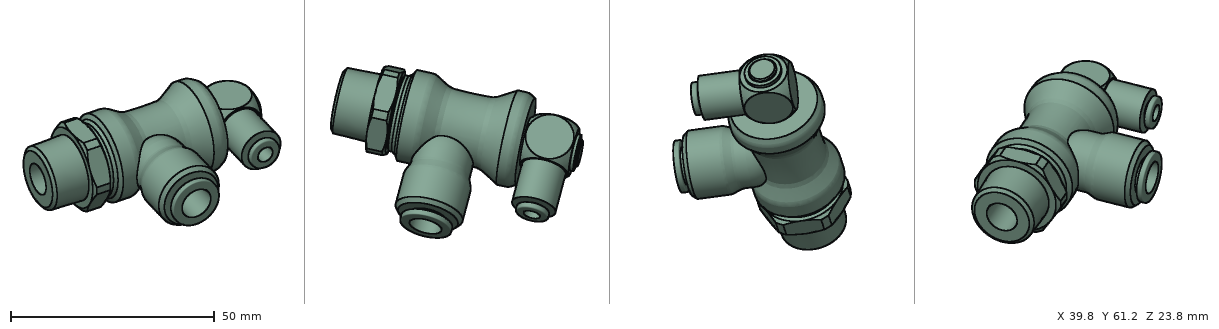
import cadquery as cq
import math


thread_tip_radius = 8.25
thread_base_radius = 8.5
thread_chamfer_radius = 7.3
thread_chamfer_length = 0.75

hex_sides = 6
hex_turn = 180.0 / hex_sides
hex_start = 9.55
hex_end = 14.6
hex_flats = 20.8
hex_corner_radius = 11.45
hex_chamfer_angle = 30.0

groove_radius = 8.9
groove_end = 15.0
ring_radius = 9.55
ring_end = 15.9
seat_radius = 9.85
seat_end = 16.3
flare_radius = 10.15
flare_end = 16.85

body_start = 17.6
lower_collar_radius = 11.45
upper_collar_radius = 23.8 / 2
waist_radius = 8.95
waist_middle_radius = 8.75
waist_start = 26.5
waist_end = 37.8
cone_angle = 30.0
cap_start = 45.7
body_end = 47.4
waist_blend = 2.9
cap_blend = 2.15

port_y = 28.9
port_ball_x = 9.75
port_neck_radius = 7.5
port_sleeve_radius = 8.5
port_flare_start = 12.85
port_flare_end = 15.5
port_flare_blend = 1.85
port_chamfer_start = 24.15
port_sleeve_end = 25.3
port_chamfer_radius = 7.6
port_stem_radius = 4.65
port_flange_start = 26.4
port_flange_radius = 6.5
port_flange_edge = 0.25
port_end = 39.8 - upper_collar_radius

block_side = 12.25
block_face_radius = 5.95
block_y = body_end + block_side / 2
block_end = body_end + block_side

control_tube_radius = 5.5
control_tube_end = 16.65
control_stem_radius = 2.7
control_flange_start = 17.2
control_flange_radius = 4.1
control_flange_edge = 0.35
control_end = 18.75

cap_base_radius = 4.6
cap_base_end = 60.5
cap_step_radius = 3.5
cap_step_end = 60.9
cap_tip_radius = 3.1
overall_length = 61.25

main_bore_radius = 4.05
control_bore_radius = 2.1


def cone_rise(radius_change, angle=cone_angle):
    """Axial length over which a cone changes its radius by the given amount."""
    return radius_change / math.tan(math.radians(angle))


def cylinder_y(radius, start, end):
    return cq.Workplane("XZ", origin=(0, start, 0)).circle(radius).extrude(start - end)


def cylinder_x(radius, start, end, y):
    return cq.Workplane("YZ", origin=(start, y, 0)).circle(radius).extrude(end - start)


def revolve_y(points):
    """Turn a (radius, y) outline about the main axis."""
    return cq.Workplane("XY").polyline(points).close().revolve(360, (0, 0), (0, 1))


def circles_at(axis, position):
    """Selector for the circular edges at one position along an axis."""
    reach = 61.25
    margin = 0.03
    low = [-reach] * 3
    high = [reach] * 3
    index = "XYZ".index(axis)
    low[index] = position - margin
    high[index] = position + margin
    return cq.selectors.BoxSelector(low, high, boundingbox=True)


def make_thread():
    return revolve_y([
        (0, 0),
        (thread_chamfer_radius, 0),
        (thread_tip_radius, thread_chamfer_length),
        (thread_base_radius, hex_start),
        (0, hex_start),
    ])


def make_hexagon():
    prism = (
        cq.Workplane("XZ", origin=(0, hex_start, 0))
        .polygon(hex_sides, hex_flats, circumscribed=True)
        .extrude(hex_start - hex_end)
        .rotate((0, 0, 0), (0, 1, 0), hex_turn)
    )
    face_radius = hex_flats / 2
    chamfer_length = (hex_corner_radius - face_radius) * math.tan(math.radians(hex_chamfer_angle))
    turned = revolve_y([
        (0, hex_start),
        (face_radius, hex_start),
        (hex_corner_radius, hex_start + chamfer_length),
        (hex_corner_radius, hex_end - chamfer_length),
        (face_radius, hex_end),
        (0, hex_end),
    ])
    return prism.intersect(turned)


def make_ring():
    return revolve_y([
        (0, hex_end),
        (groove_radius, hex_end),
        (groove_radius, groove_end),
        (ring_radius, groove_end),
        (ring_radius, ring_end),
        (seat_radius, seat_end),
        (flare_radius, flare_end),
        (lower_collar_radius, body_start),
        (0, body_start),
    ])


def make_body():
    lower_collar_end = waist_start - cone_rise(lower_collar_radius - waist_radius)
    upper_collar_start = waist_end + cone_rise(upper_collar_radius - waist_radius)
    cap_face_radius = upper_collar_radius - (body_end - cap_start) / cone_rise(1)
    body = (
        cq.Workplane("XY")
        .moveTo(0, body_start)
        .lineTo(lower_collar_radius, body_start)
        .lineTo(lower_collar_radius, lower_collar_end)
        .lineTo(waist_radius, waist_start)
        .threePointArc((waist_middle_radius, (waist_start + waist_end) / 2), (waist_radius, waist_end))
        .lineTo(upper_collar_radius, upper_collar_start)
        .lineTo(upper_collar_radius, cap_start)
        .lineTo(cap_face_radius, body_end)
        .lineTo(0, body_end)
        .close()
        .revolve(360, (0, 0), (0, 1))
    )
    for position in (lower_collar_end, waist_start, waist_end):
        body = body.edges(circles_at("Y", position)).fillet(waist_blend)
    return body.edges(circles_at("Y", cap_start)).fillet(cap_blend)


def make_flange(radius, start, end, edge, y):
    return cylinder_x(radius, start, end, y).faces("<X or >X").edges().fillet(edge)


def make_main_port():
    sleeve = (
        cq.Workplane("XY")
        .moveTo(port_ball_x - port_neck_radius, 0)
        .radiusArc((port_ball_x, port_neck_radius), port_neck_radius)
        .lineTo(port_flare_start, port_neck_radius)
        .lineTo(port_flare_end, port_sleeve_radius)
        .lineTo(port_chamfer_start, port_sleeve_radius)
        .lineTo(port_sleeve_end, port_chamfer_radius)
        .lineTo(port_sleeve_end, 0)
        .close()
        .revolve(360, (0, 0), (1, 0))
    )
    for position in (port_flare_start, port_flare_end):
        sleeve = sleeve.edges(circles_at("X", position)).fillet(port_flare_blend)
    stem = cylinder_x(port_stem_radius, port_sleeve_end, port_flange_start, port_y)
    flange = make_flange(port_flange_radius, port_flange_start, port_end, port_flange_edge, port_y)
    return sleeve.translate((0, port_y, 0)).union(stem).union(flange)


def make_control_block():
    corner_radius = math.hypot(block_face_radius, block_side / 2)
    cube = cq.Workplane("XY").box(block_side, block_side, block_side).translate((0, block_y, 0))
    sphere = cq.Workplane("XY").sphere(corner_radius).translate((0, block_y, 0))
    return cube.intersect(sphere)


def make_control_port():
    tube = cylinder_x(control_tube_radius, 0, control_tube_end, block_y)
    stem = cylinder_x(control_stem_radius, control_tube_end, control_flange_start, block_y)
    flange = make_flange(
        control_flange_radius, control_flange_start, control_end, control_flange_edge, block_y
    )
    return tube.union(stem).union(flange)


def make_cap():
    return revolve_y([
        (0, block_end),
        (cap_base_radius, block_end),
        (cap_base_radius, cap_base_end),
        (cap_step_radius, cap_base_end),
        (cap_step_radius, cap_step_end),
        (cap_tip_radius, overall_length),
        (0, overall_length),
    ])


def make_outlet_bore(radius, turn_y, port_face_x):
    """Bore along +X from the main axis, closed by half a ball at its inner end."""
    return (
        cq.Workplane("XY")
        .moveTo(-radius, 0)
        .radiusArc((0, radius), radius)
        .lineTo(port_face_x, radius)
        .lineTo(port_face_x, 0)
        .close()
        .revolve(360, (0, 0), (1, 0))
        .translate((0, turn_y, 0))
    )


result = (
    make_body()
    .union(make_ring())
    .union(make_hexagon())
    .union(make_thread())
    .union(make_main_port())
    .union(make_control_block())
    .union(make_control_port())
    .union(make_cap())
    .cut(make_outlet_bore(main_bore_radius, port_y, port_end))
    .cut(cylinder_y(main_bore_radius, 0, port_y))
    .cut(make_outlet_bore(control_bore_radius, block_y, control_end))
    .cut(cylinder_y(control_bore_radius, 0, block_y))
)